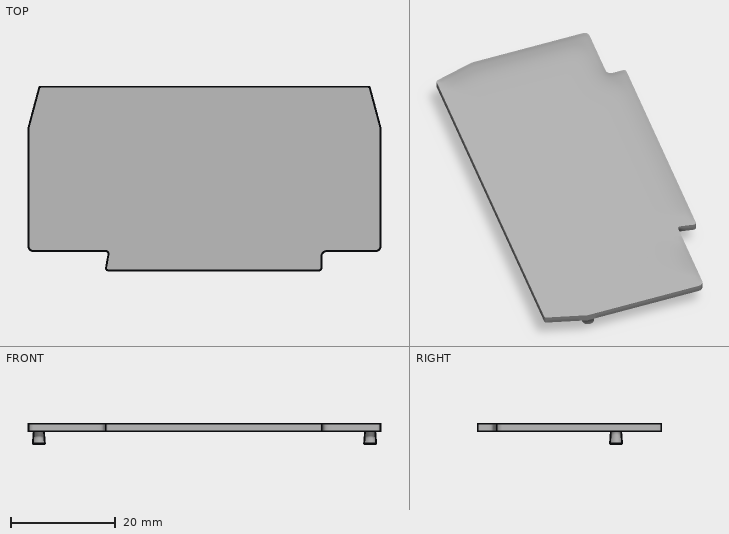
import cadquery as cq
import math

LENGTH = 67.3
DEPTH = 35.1
THICKNESS = 1.5
TAPER_DEPTH = 7.95
TAPER_ANGLE = 15.0
REAR_RADIUS = 0.5
CORNER_RADIUS = 1.0

TAB_DEPTH = 3.7
TAB_LEFT = 14.75
TAB_RIGHT = 56.0
UNDERCUT_ANGLE = 10.0
TAB_RADIUS = 0.5
NECK_RADIUS = 1.0

PIN_LENGTH = 2.5
PIN_BASE_DIAMETER = 2.0
PIN_TIP_DIAMETER = 2.35
PIN_CHAMFER = 0.2
PIN_SIDE_OFFSET = 2.0
PIN_REAR_OFFSET = 8.7

left = -LENGTH / 2
right = LENGTH / 2
front = -DEPTH / 2
rear = DEPTH / 2
shoulder = front + TAB_DEPTH
taper_start = rear - TAPER_DEPTH
taper_inset = TAPER_DEPTH * math.tan(math.radians(TAPER_ANGLE))
undercut = TAB_DEPTH * math.tan(math.radians(UNDERCUT_ANGLE))
tab_left = left + TAB_LEFT
tab_right = left + TAB_RIGHT


def make_plate():
    corners = [
        (left, shoulder, CORNER_RADIUS),
        (tab_left + undercut, shoulder, TAB_RADIUS),
        (tab_left, front, TAB_RADIUS),
        (tab_right, front, TAB_RADIUS),
        (tab_right, shoulder, NECK_RADIUS),
        (right, shoulder, CORNER_RADIUS),
        (right, taper_start, 0),
        (right - taper_inset, rear, REAR_RADIUS),
        (left + taper_inset, rear, REAR_RADIUS),
        (left, taper_start, 0),
    ]
    outline = [(x, y) for x, y, radius in corners]
    plate = cq.Workplane("XY").polyline(outline).close().extrude(THICKNESS)
    for x, y, radius in corners:
        if radius == 0:
            continue
        corner_edge = cq.selectors.NearestToPointSelector((x, y, THICKNESS / 2))
        plate = plate.edges("|Z").edges(corner_edge).fillet(radius)
    return plate


def make_pin(x, y):
    base_radius = PIN_BASE_DIAMETER / 2
    tip_radius = PIN_TIP_DIAMETER / 2
    half_profile = [
        (0, 0),
        (-base_radius, 0),
        (-tip_radius, PIN_CHAMFER - PIN_LENGTH),
        (PIN_CHAMFER - tip_radius, -PIN_LENGTH),
        (0, -PIN_LENGTH),
    ]
    pin = cq.Workplane("YZ").polyline(half_profile).close().revolve(360, (0, 0), (0, 1))
    return pin.translate((x, y, 0))


result = make_plate()
for pin_x in (left + PIN_SIDE_OFFSET, right - PIN_SIDE_OFFSET):
    result = result.union(make_pin(pin_x, rear - PIN_REAR_OFFSET))